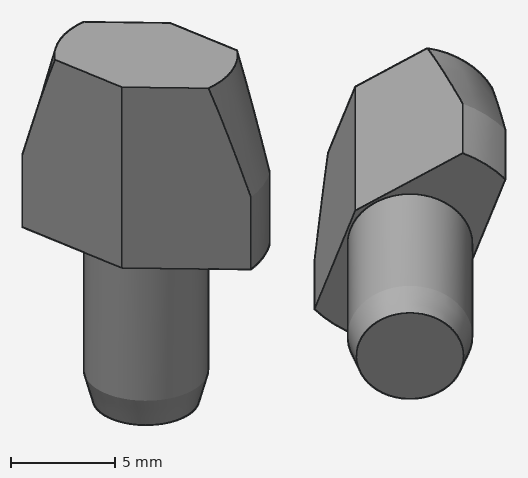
import cadquery as cq
import math

head_diameter = 12.0
head_height = 10.0
head_straight_height = 4.0
diamond_width_y = 6.62
flat_angle = 19.0

shank_diameter = 6.0
shank_length = 9.0
lead_in_length = 1.6

taper_angle = 15.0
taper_slope = math.tan(math.radians(taper_angle))


def make_revolved_head():
    """Round head blank: straight band above the shoulder, then a cone to the top."""
    base_radius = head_diameter / 2
    top_radius = base_radius - (head_height - head_straight_height) * taper_slope
    return (
        cq.Workplane("XZ")
        .moveTo(0, 0)
        .lineTo(base_radius, 0)
        .lineTo(base_radius, head_straight_height)
        .lineTo(top_radius, head_height)
        .lineTo(0, head_height)
        .close()
        .revolve(360, (0, 0), (0, 1))
    )


def make_diamond_prism():
    """Prism bounded by the four flats; its sharp X corners lie outside the head."""
    half_y = diamond_width_y / 2
    half_x = half_y / math.tan(math.radians(flat_angle))
    corners = [(half_x, 0), (0, half_y), (-half_x, 0), (0, -half_y)]
    return cq.Workplane("XY").polyline(corners).close().extrude(head_height)


def make_shank():
    """Pin below the shoulder, narrowing over the lead-in."""
    radius = shank_diameter / 2
    tip_radius = radius - lead_in_length * taper_slope
    return (
        cq.Workplane("XZ")
        .moveTo(0, 0)
        .lineTo(radius, 0)
        .lineTo(radius, lead_in_length - shank_length)
        .lineTo(tip_radius, -shank_length)
        .lineTo(0, -shank_length)
        .close()
        .revolve(360, (0, 0), (0, 1))
    )


head = make_revolved_head().intersect(make_diamond_prism())
result = head.union(make_shank())